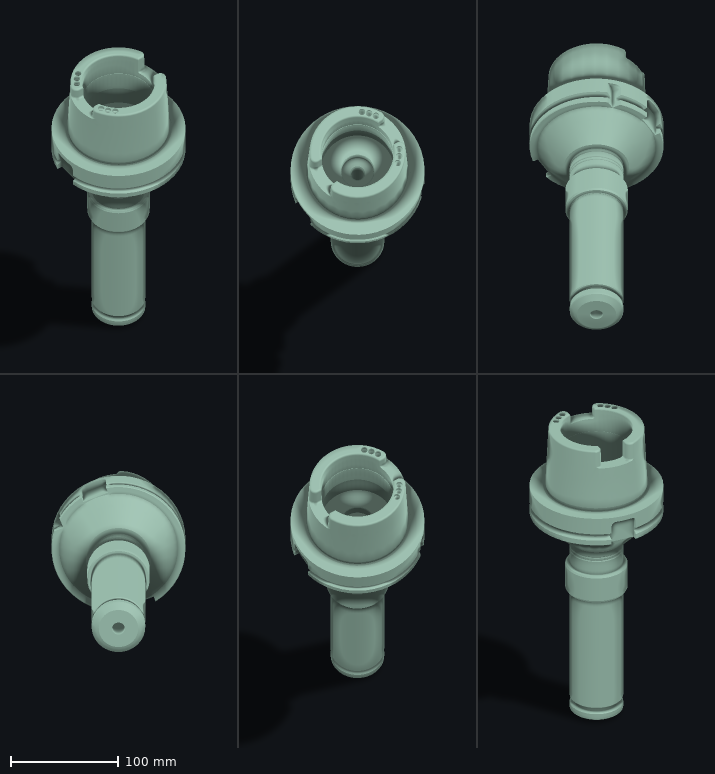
import cadquery as cq
import math

total_length = 307.0
taper_length = 63.0
flange_thickness = 29.2
flange_top = total_length - taper_length
flange_bottom = flange_top - flange_thickness
cone_bottom = 189.7
collar_top = 161.5
collar_bottom = 133.2

taper_base_radius = 48.0
taper_ratio = 0.05
taper_top_radius = taper_base_radius - taper_ratio * taper_length
relief_height = 2.8
relief_depth = 0.5
relief_inner_radius = 47.3
relief_outer_radius = 49.7

flange_radius = 125.0 / 2
flange_bottom_chamfer = 0.5
groove_floor_radius = 58.0
groove_upper_edge = 227.2
groove_floor_top = 225.3
groove_floor_bottom = 222.5
groove_lower_edge = 220.5
cone_top_radius = 55.3
cone_bottom_radius = 30.5

neck_radius = 50.5 / 2
neck_bottom = 131.7
neck_groove_heights = (186.7, 179.5, 176.2)
neck_groove_depth = 1.0
collar_radius = 58.3 / 2
collar_chamfer_width = 1.0
collar_chamfer_height = 1.8
body_radius = 50.0 / 2
edge_chamfer = 1.0
tip_groove_radius = 42.0 / 2
tip_groove_top = 16.3
tip_groove_bottom = 11.0
tip_cone_top = 3.7
tip_cone_top_radius = 24.3
tip_end_radius = 18.5

mouth_radius = 67.5 / 2
mouth_bottom = 282.0
bore_radius = 67.0 / 2
bore_bottom = 262.5
undercut_radius = 68.8 / 2
bore_floor = 242.5
seat_radius = 30.5 / 2
seat_chamfer = 0.5
seat_depth = 9.2
through_radius = 12.0 / 2
through_chamfer = 1.07

slot_width = 25.0
front_slot_depth = 11.5
rear_slot_depth = 18.5
slot_corner_radius = 5.2
rim_fillet = 2.0
slot_floor_fillet = 1.8

code_hole_radius = 3.0
code_hole_depth = 3.0
code_hole_circle_radius = 39.0
code_hole_angles = (40, 50, 60)
drill_half_angle = 59

keyway_floor_distance = 56.0
keyway_top = 239.0
keyway_corner_radius = 9.0 / 2
notch_offset = 39.3


def axial_revolve(points):
    """Revolve an (r, z) outline about the Z axis."""
    return cq.Workplane("XZ").polyline(points).close().revolve(360, (0, 0, 0), (0, 1, 0))


def shank():
    relief_top = flange_top + relief_height
    return axial_revolve([
        (0, flange_bottom),
        (relief_inner_radius, flange_bottom),
        (relief_inner_radius, relief_top),
        (taper_base_radius - taper_ratio * relief_height, relief_top),
        (taper_top_radius, total_length),
        (0, total_length),
    ])


def flange_and_body():
    outline = [
        (0, flange_top - relief_depth),
        (relief_outer_radius, flange_top - relief_depth),
        (relief_outer_radius, flange_top),
        (flange_radius, flange_top),
        (flange_radius, groove_upper_edge),
        (groove_floor_radius, groove_floor_top),
        (groove_floor_radius, groove_floor_bottom),
        (flange_radius, groove_lower_edge),
        (flange_radius, flange_bottom + flange_bottom_chamfer),
        (flange_radius - flange_bottom_chamfer, flange_bottom),
        (cone_top_radius, flange_bottom),
        (cone_bottom_radius, cone_bottom),
        (neck_radius, cone_bottom),
    ]
    for height in neck_groove_heights:
        outline += [
            (neck_radius, height + neck_groove_depth),
            (neck_radius - neck_groove_depth, height),
            (neck_radius, height - neck_groove_depth),
        ]
    outline += [
        (neck_radius, collar_top),
        (collar_radius - collar_chamfer_width, collar_top),
        (collar_radius, collar_top - collar_chamfer_height),
        (collar_radius, collar_bottom + collar_chamfer_height),
        (collar_radius - collar_chamfer_width, collar_bottom),
        (neck_radius, collar_bottom),
        (neck_radius, neck_bottom),
        (body_radius, neck_bottom),
        (body_radius, tip_groove_top + edge_chamfer),
        (body_radius - edge_chamfer, tip_groove_top),
        (tip_groove_radius, tip_groove_top),
        (tip_groove_radius, tip_groove_bottom),
        (body_radius - edge_chamfer, tip_groove_bottom),
        (body_radius, tip_groove_bottom - edge_chamfer),
        (body_radius, tip_cone_top + edge_chamfer),
        (tip_cone_top_radius, tip_cone_top),
        (tip_end_radius, 0),
        (0, 0),
    ]
    return axial_revolve(outline)


def bore():
    seat_floor = bore_floor - seat_depth
    return axial_revolve([
        (0, total_length),
        (mouth_radius, total_length),
        (mouth_radius, mouth_bottom),
        (bore_radius, mouth_bottom),
        (bore_radius, bore_bottom),
        (undercut_radius, bore_bottom),
        (undercut_radius, bore_floor),
        (seat_radius + seat_chamfer, bore_floor),
        (seat_radius, bore_floor - seat_chamfer),
        (seat_radius, seat_floor),
        (through_radius + through_chamfer, seat_floor),
        (through_radius, seat_floor - through_chamfer),
        (through_radius, 0),
        (0, 0),
    ])


def drive_slot(side, depth):
    """Slot across the rim wall on the +Y (side 1) or -Y (side -1) side."""
    return (
        cq.Workplane("XY", origin=(0, side * flange_radius / 2, total_length - depth))
        .rect(slot_width, flange_radius)
        .extrude(depth)
    )


def slotted_rim(solid):
    """Cut both drive slots, then round their upright corners, the rim edge and the slot floors."""
    solid = solid.cut(drive_slot(-1, front_slot_depth)).cut(drive_slot(1, rear_slot_depth))
    wall_x = slot_width / 2
    corner_y = math.sqrt(taper_top_radius**2 - wall_x**2)
    floor_y = math.sqrt(bore_radius**2 - wall_x**2) + slot_floor_fillet
    slots = ((-1, front_slot_depth), (1, rear_slot_depth))
    for side, depth in slots:
        for wall in (-1, 1):
            corner = (wall * wall_x, side * corner_y, total_length - depth / 2)
            solid = solid.edges(cq.NearestToPointSelector(corner)).fillet(slot_corner_radius)
    solid = solid.faces(">Z").edges().fillet(rim_fillet)
    for side, depth in slots:
        for wall in (-1, 1):
            foot = (wall * wall_x, side * floor_y, total_length - depth)
            solid = solid.edges(cq.NearestToPointSelector(foot)).fillet(slot_floor_fillet)
    return solid


def code_holes():
    """Drilled blind holes in the rim, mirrored about the YZ plane beside the front slot."""
    tip_length = code_hole_radius / math.tan(math.radians(drill_half_angle))
    drill = axial_revolve([
        (0, total_length),
        (code_hole_radius, total_length),
        (code_hole_radius, total_length - code_hole_depth),
        (0, total_length - code_hole_depth - tip_length),
    ])
    holes = cq.Workplane("XY")
    for angle in code_hole_angles:
        x = code_hole_circle_radius * math.cos(math.radians(angle))
        y = -code_hole_circle_radius * math.sin(math.radians(angle))
        for side in (-1, 1):
            holes = holes.add(drill.translate((side * x, y, 0)))
    return holes.combine()


def keyway(side):
    """Flat-floored keyway through the lower flange edge, on the +Y (1) or -Y (-1) side."""
    return (
        cq.Workplane("XY", origin=(0, side * (keyway_floor_distance + flange_radius / 2), flange_bottom))
        .rect(slot_width, flange_radius)
        .extrude(keyway_top - flange_bottom)
        .faces(">Z").edges("|Y").fillet(keyway_corner_radius)
    )


def corner_notch():
    """Square notch in the -X, -Y quarter of the flange, rounded at the top of its inner X wall."""
    size = flange_radius - notch_offset
    return (
        cq.Workplane("XY", origin=(-notch_offset, -notch_offset, flange_bottom))
        .rect(-size, -size, centered=False)
        .extrude(keyway_top - flange_bottom)
        .edges("|Y and >X and >Z").fillet(keyway_corner_radius)
    )


body = shank().union(flange_and_body()).cut(bore())
body = slotted_rim(body).cut(code_holes())
result = body.cut(keyway(-1)).cut(keyway(1)).cut(corner_notch())